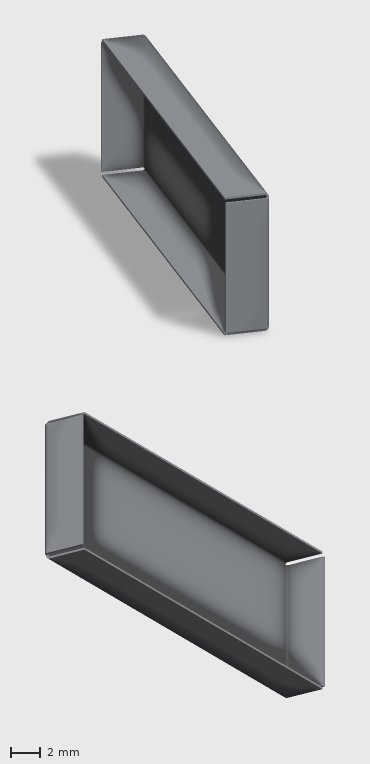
import cadquery as cq

length = 30.15
depth = 3.15
height = 10.15

thickness = 0.15
inner_bend_radius = 0.15
outer_bend_radius = inner_bend_radius + thickness

floor_length = length - 2 * outer_bend_radius
floor_height = height - 2 * outer_bend_radius

back_y = depth / 2
open_y = -depth / 2


def folded_strip(plane, span, width):
    """U-shaped strip: two walls bent from a flat floor, `span` across the walls and `width` deep."""
    outer_half = span / 2
    inner_half = outer_half - thickness
    inner_floor_y = back_y - thickness
    return (
        cq.Workplane(plane)
        .moveTo(-outer_half, open_y)
        .lineTo(-outer_half, back_y - outer_bend_radius)
        .radiusArc((-outer_half + outer_bend_radius, back_y), outer_bend_radius)
        .lineTo(outer_half - outer_bend_radius, back_y)
        .radiusArc((outer_half, back_y - outer_bend_radius), outer_bend_radius)
        .lineTo(outer_half, open_y)
        .lineTo(inner_half, open_y)
        .lineTo(inner_half, inner_floor_y - inner_bend_radius)
        .radiusArc((inner_half - inner_bend_radius, inner_floor_y), -inner_bend_radius)
        .lineTo(-inner_half + inner_bend_radius, inner_floor_y)
        .radiusArc((-inner_half, inner_floor_y - inner_bend_radius), -inner_bend_radius)
        .lineTo(-inner_half, open_y)
        .close()
        .extrude(width / 2, both=True)
    )


across_length = cq.Plane(origin=(0, 0, 0), xDir=(1, 0, 0), normal=(0, 0, 1))
across_height = cq.Plane(origin=(0, 0, 0), xDir=(0, 0, 1), normal=(-1, 0, 0))

end_walls = folded_strip(across_length, length, floor_height)
long_walls = folded_strip(across_height, height, floor_length)

result = end_walls.union(long_walls)